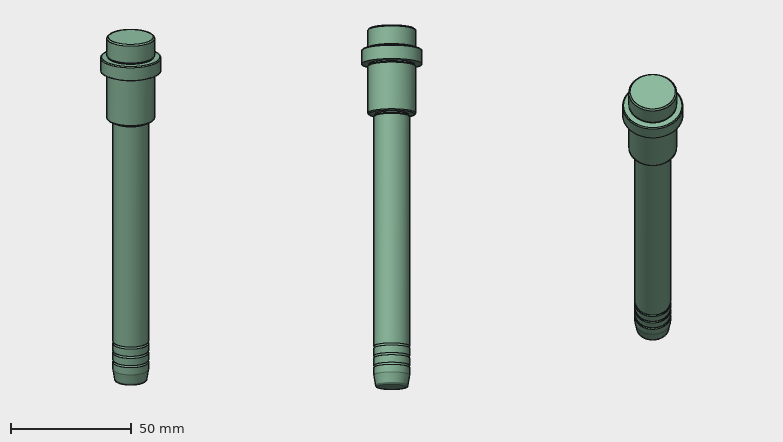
import cadquery as cq

total_length = 151.0
head_diameter = 20.0
collar_diameter = 25.0
shank_diameter = 15.0

collar_top_depth = 8.8
collar_bottom_depth = 14.8
head_bottom_depth = 36.0

top_chamfer = 0.6
edge_chamfer = 0.5

upper_relief_width = 0.8
lower_relief_width = 1.0
relief_depth = 0.5

tip_length = 5.0
tip_diameter = 13.3
tip_fillet = 0.8

ring_count = 3
ring_width = 0.9
ring_depth = 0.3
first_ring_height = 8.2
ring_pitch = 4.1

collar_top = total_length - collar_top_depth
collar_bottom = total_length - collar_bottom_depth
head_bottom = total_length - head_bottom_depth


def cylinder(diameter, bottom, top):
    return cq.Workplane("XY").workplane(offset=bottom).circle(diameter / 2).extrude(top - bottom)


def ring_cutter(bottom):
    """Ring that cuts a round-bottomed groove into the shank."""
    shank_radius = shank_diameter / 2
    profile = (
        cq.Workplane("XZ")
        .moveTo(shank_radius, bottom)
        .threePointArc(
            (shank_radius - ring_depth, bottom + ring_width / 2),
            (shank_radius, bottom + ring_width),
        )
        .close()
    )
    return profile.revolve(360, (0, 0, 0), (0, 1, 0))


def tapered_relief_cutter(diameter, wall, width, direction):
    """Relief starting at a shoulder and sloping back out over its second half."""
    outer_radius = diameter / 2
    inner_radius = outer_radius - relief_depth
    slope_start = wall + direction * width / 2
    slope_end = wall + direction * width
    profile = [
        (outer_radius, wall),
        (inner_radius, wall),
        (inner_radius, slope_start),
        (outer_radius, slope_end),
    ]
    return cq.Workplane("XZ").polyline(profile).close().revolve(360, (0, 0, 0), (0, 1, 0))


def make_head():
    head = cylinder(head_diameter, head_bottom, total_length)
    head = head.faces(">Z").chamfer(top_chamfer)
    head = head.faces("<Z").chamfer(edge_chamfer)
    head = head.cut(tapered_relief_cutter(head_diameter, collar_top, upper_relief_width, 1))
    return head.cut(tapered_relief_cutter(head_diameter, collar_bottom, lower_relief_width, -1))


def make_collar():
    return cylinder(collar_diameter, collar_bottom, collar_top).faces(">Z").chamfer(edge_chamfer)


def make_shank():
    shank = cylinder(shank_diameter, tip_length, head_bottom)
    shank = shank.cut(tapered_relief_cutter(shank_diameter, head_bottom, lower_relief_width, -1))
    for index in range(ring_count):
        ring_bottom = first_ring_height + index * ring_pitch
        shank = shank.cut(ring_cutter(ring_bottom))
    return shank


def make_tip():
    tip = (
        cq.Workplane("XY")
        .circle(tip_diameter / 2)
        .workplane(offset=tip_length)
        .circle(shank_diameter / 2)
        .loft(ruled=True)
    )
    return tip.faces("<Z").edges().fillet(tip_fillet)


result = make_head().union(make_collar()).union(make_shank()).union(make_tip())